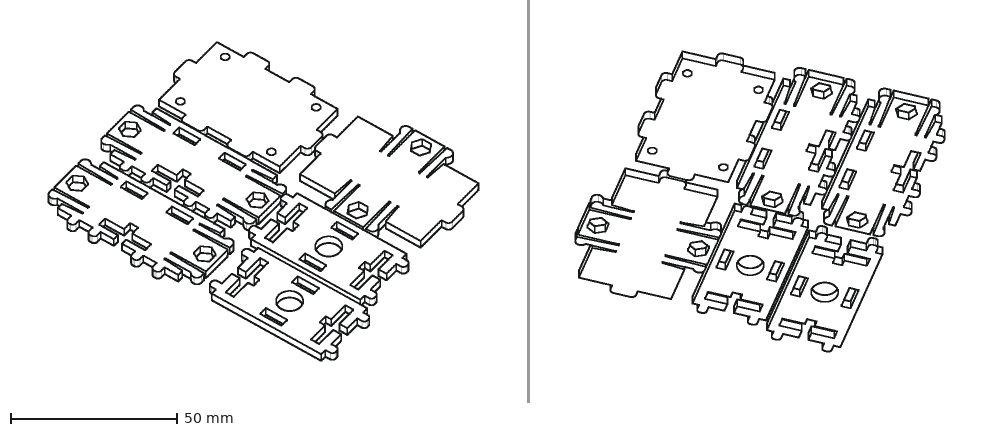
import cadquery as cq


THICKNESS = 3.0
TAB_LENGTH = 2.9
BOX_LENGTH = 45.3
BOX_WIDTH = 29.2
BOX_HEIGHT = 23.2
CUT_HEIGHT = BOX_HEIGHT + 2 * TAB_LENGTH

WIDE_TAB = 8.1
WIDE_TAB_RADIUS = 1.4
WINDOW_PITCH = 17.1
WINDOW_LENGTH = 8.0
WINDOW_WIDTH = 2.9
SLOT_WIDTH = 3.0
FOOT_WIDTH = 3.0
FOOT_RADIUS = 1.2
FOOT_PITCH = 16.0
ROW_OFFSET = FOOT_PITCH / 2
CROSS_SLOT_LENGTH = 17.3
T_SLOT_REACH = 3.5

SCREW_HOLE = 2.7
SCREW_PITCH_X = 34.1
SCREW_PITCH_Y = 22.5

SNAP_REACH = 5.8
SNAP_ROOT = 7.2
TONGUE_WIDTH = 11.0
NUT_CORNERS = 6.7
NUT_SETBACK = 4.5
ARM_OUTER = 8.5
ARM_INNER_ROOT = 6.0
ARM_INNER_TIP = 6.5
NOTCH_ROOT = 9.0
NOTCH_MOUTH = 9.5
BARB_PEAK = 9.5
BARB_LENGTH = 3.5
BARB_NOSE_RADIUS = 1.6

END_WALL_LENGTH = 41.0
CABLE_HOLE = 8.1
END_SLOT_OFFSET = 16.0
END_SLOT_REACH = 12.4

SHEET_LENGTH = 108.0
SHEET_WIDTH = 92.5
LEFT_WALL_X = -SHEET_LENGTH / 2 + BOX_LENGTH / 2 + SNAP_REACH
RIGHT_WALL_X = SHEET_LENGTH / 2 - END_WALL_LENGTH / 2 - TAB_LENGTH
BOTTOM_WALL_Y = -SHEET_WIDTH / 2 + BOX_HEIGHT / 2 + TAB_LENGTH
FACE_CENTRE = (-27.0, 24.6)
LID_CENTRE = (25.0, SHEET_WIDTH / 2 - BOX_WIDTH / 2 - SNAP_REACH)
SIDE_WALL_CENTRES = [(LEFT_WALL_X, -4.8), (-25.2, BOTTOM_WALL_Y)]
END_WALL_CENTRES = [(26.8, -7.0), (RIGHT_WALL_X, -31.8)]


def plate(length, width, x=0, y=0):
    """Rectangle of sheet centred on (x, y)."""
    return cq.Workplane("XY").center(x, y).rect(length, width).extrude(THICKNESS)


def tab(x, y, angle, width, radius):
    """Tab with rounded outer corners; (x, y) is its foot and angle its direction."""
    shape = plate(TAB_LENGTH, width, TAB_LENGTH / 2).edges("|Z and >X").fillet(radius)
    return shape.rotate((0, 0, 0), (0, 0, 1), angle).translate((x, y, 0))


def snap_arm():
    """Barbed arm on the +Y side of a tongue pointing to +X from the panel's edge at X = 0."""
    return (
        cq.Workplane("XY")
        .moveTo(-SNAP_ROOT, ARM_INNER_ROOT)
        .lineTo(SNAP_REACH, ARM_INNER_TIP)
        .lineTo(SNAP_REACH, BARB_PEAK - BARB_NOSE_RADIUS)
        .radiusArc((SNAP_REACH - BARB_NOSE_RADIUS, BARB_PEAK), -BARB_NOSE_RADIUS)
        .tangentArcPoint((SNAP_REACH - BARB_LENGTH, ARM_OUTER), relative=False)
        .lineTo(-SNAP_ROOT, ARM_OUTER)
        .close()
        .extrude(THICKNESS)
    )


def snap_end(panel, edge, angle):
    """Give the panel a snap end on the edge at this distance and direction from its centre."""
    notch = (
        cq.Workplane("XY")
        .polyline([(-SNAP_ROOT, -NOTCH_ROOT), (0, -NOTCH_MOUTH), (0, NOTCH_MOUTH), (-SNAP_ROOT, NOTCH_ROOT)])
        .close()
        .extrude(THICKNESS)
    )
    tongue = plate(SNAP_ROOT + SNAP_REACH, TONGUE_WIDTH, (SNAP_REACH - SNAP_ROOT) / 2)
    nut_hole = (
        cq.Workplane("XY")
        .center(SNAP_REACH - NUT_SETBACK, 0)
        .transformed(rotate=(0, 0, 90))
        .polygon(6, NUT_CORNERS)
        .extrude(THICKNESS)
    )
    arm = snap_arm()
    filling = tongue.cut(nut_hole).union(arm).union(arm.mirror("XZ"))

    def place(shape):
        return shape.translate((edge, 0, 0)).rotate((0, 0, 0), (0, 0, 1), angle)

    return panel.cut(place(notch)).union(place(filling))


def end_tabs(panel):
    """Add one wide tab in the middle of each short edge of the face or the lid."""
    for side, angle in [(-1, 180), (1, 0)]:
        panel = panel.union(tab(side * BOX_LENGTH / 2, 0, angle, WIDE_TAB, WIDE_TAB_RADIUS))
    return panel


def make_face():
    """Face panel with six wide tabs and four screw holes."""
    face = end_tabs(plate(BOX_LENGTH, BOX_WIDTH))
    for x in (-WINDOW_PITCH / 2, WINDOW_PITCH / 2):
        for side, angle in [(-1, -90), (1, 90)]:
            face = face.union(tab(x, side * BOX_WIDTH / 2, angle, WIDE_TAB, WIDE_TAB_RADIUS))
    screw_holes = (
        cq.Workplane("XY")
        .rect(SCREW_PITCH_X, SCREW_PITCH_Y, forConstruction=True)
        .vertices()
        .circle(SCREW_HOLE / 2)
        .extrude(THICKNESS)
    )
    return face.cut(screw_holes)


def make_lid():
    """Lid panel with a wide tab on each short edge and a snap end on each long edge."""
    lid = end_tabs(plate(BOX_LENGTH, BOX_WIDTH))
    for angle in (90, -90):
        lid = snap_end(lid, BOX_WIDTH / 2, angle)
    return lid


def make_side_wall():
    """Side wall with a snap end on each short edge, two windows, a T-slot and four feet."""
    wall = plate(BOX_LENGTH, BOX_HEIGHT)
    for angle in (0, 180):
        wall = snap_end(wall, BOX_LENGTH / 2, angle)
    for x in (-WINDOW_PITCH / 2, WINDOW_PITCH / 2):
        wall = wall.cut(plate(WINDOW_LENGTH, WINDOW_WIDTH, x, ROW_OFFSET))
    wall = wall.cut(plate(CROSS_SLOT_LENGTH, SLOT_WIDTH, 0, -ROW_OFFSET))
    wall = wall.cut(plate(SLOT_WIDTH, CUT_HEIGHT, 0, -T_SLOT_REACH - CUT_HEIGHT / 2))
    for x in (-FOOT_PITCH, -FOOT_PITCH / 2, FOOT_PITCH / 2, FOOT_PITCH):
        wall = wall.union(tab(x, -BOX_HEIGHT / 2, -90, FOOT_WIDTH, FOOT_RADIUS))
    return wall


def make_end_wall():
    """End wall with a round hole, two windows, and a T-slot and two feet on each short edge."""
    wall = plate(END_WALL_LENGTH, BOX_HEIGHT)
    wall = wall.cut(cq.Workplane("XY").circle(CABLE_HOLE / 2).extrude(THICKNESS))
    slot_length = END_WALL_LENGTH / 2 - END_SLOT_REACH
    for y in (-ROW_OFFSET, ROW_OFFSET):
        wall = wall.cut(plate(WINDOW_LENGTH, WINDOW_WIDTH, 0, y))
    for side, angle in [(-1, 180), (1, 0)]:
        wall = wall.cut(plate(SLOT_WIDTH, CROSS_SLOT_LENGTH, side * END_SLOT_OFFSET))
        wall = wall.cut(plate(slot_length, SLOT_WIDTH, side * (END_SLOT_REACH + slot_length / 2)))
        for y in (-FOOT_PITCH / 2, FOOT_PITCH / 2):
            wall = wall.union(tab(side * END_WALL_LENGTH / 2, y, angle, FOOT_WIDTH, FOOT_RADIUS))
    return wall


face = make_face().translate((*FACE_CENTRE, 0))
lid = make_lid().translate((*LID_CENTRE, 0))
side_walls = [make_side_wall().translate((x, y, 0)) for x, y in SIDE_WALL_CENTRES]
end_walls = [make_end_wall().translate((x, y, 0)) for x, y in END_WALL_CENTRES]

result = cq.Compound.makeCompound(
    [face.val(), lid.val()] + [wall.val() for wall in side_walls + end_walls]
)